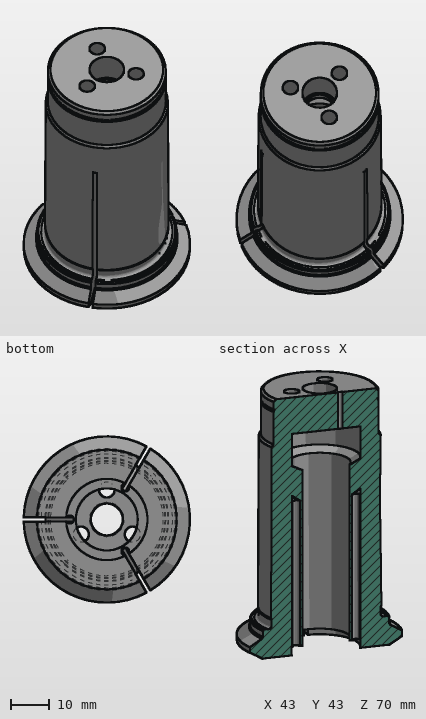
import cadquery as cq
import math

total_length = 70.0
flange_radius = 43.0 / 2

end_face_radius = 18.05
lower_cone_top = 2.0
rim_top = 3.5
rim_chamfer = 0.2
upper_cone_top = 5.5
upper_cone_top_radius = 18.3
shoulder_radius = 18.05
shoulder_bottom = 5.95
shoulder_edge = 0.4
shoulder_top = 8.0
neck_radius = 15.8
undercut_radius = 0.8
undercut_depth = 0.08
neck_top = 10.35
body_bottom = 10.85
body_bottom_radius = 16.0
body_top = 57.1
body_top_radius = 15.8
top_section_radius = 30.5 / 2
top_section_bottom = 57.8
groove_bottom = 66.6
groove_top = 67.15
groove_radius = 15.0
top_chamfer = 0.7

bore_radius = 16.0 / 2
chamber_radius = 21.0 / 2
recess_radius = chamber_radius
recess_depth = 2.35
chamber_bottom = 50.0
chamber_cone_angle = 30.0
end_wall = 10.0

plug_hole_radius = 8.92 / 2
plug_hole_depth = 8.0
plug_seat_radius = 8.2 / 2
coolant_hole_diameter = 4.0
coolant_hole_count = 3
coolant_circle_radius = 7.7
coolant_first_angle = 30.0

slot_count = 3
slot_first_angle = 60.0
slot_width = 1.1
slot_floor_radius = 8.5
floor_rounding = 1.0
slot_top = 47.55
slot_runout_bottom = 41.75
cut_margin = 1.0


def outer_body():
    arc_centre_radius = neck_radius + undercut_radius
    arc_centre_height = shoulder_top - undercut_depth + undercut_radius
    arc_outer_radius = arc_centre_radius + math.sqrt(
        undercut_radius**2 - (arc_centre_height - shoulder_top) ** 2
    )
    diagonal = undercut_radius * math.sqrt(0.5)
    profile = (
        cq.Workplane("XZ")
        .moveTo(0, 0)
        .lineTo(end_face_radius, 0)
        .lineTo(flange_radius, lower_cone_top)
        .lineTo(flange_radius, rim_top)
        .lineTo(flange_radius - rim_chamfer, rim_top + rim_chamfer)
        .lineTo(upper_cone_top_radius, upper_cone_top)
        .lineTo(shoulder_radius, shoulder_bottom)
        .lineTo(shoulder_radius, shoulder_top - shoulder_edge)
        .lineTo(shoulder_radius - shoulder_edge, shoulder_top)
        .lineTo(arc_outer_radius, shoulder_top)
        .threePointArc(
            (arc_centre_radius - diagonal, arc_centre_height - diagonal),
            (neck_radius, arc_centre_height),
        )
        .lineTo(neck_radius, neck_top)
        .lineTo(body_bottom_radius, body_bottom)
        .lineTo(body_top_radius, body_top)
        .lineTo(top_section_radius, top_section_bottom)
        .lineTo(top_section_radius, groove_bottom)
        .lineTo(groove_radius, groove_top)
        .lineTo(top_section_radius, groove_top)
        .lineTo(top_section_radius, total_length - top_chamfer)
        .lineTo(top_section_radius - top_chamfer, total_length)
        .lineTo(0, total_length)
        .close()
    )
    return profile.revolve(360, (0, 0, 0), (0, 1, 0))


def bore():
    cone_slope = math.tan(math.radians(chamber_cone_angle))
    cone_top = chamber_bottom + (chamber_radius - bore_radius) * cone_slope
    wall_bottom = total_length - end_wall
    seat_top = total_length - plug_hole_depth
    seat_bottom = seat_top - (plug_hole_radius - plug_seat_radius)
    profile = (
        cq.Workplane("XZ")
        .moveTo(0, 0)
        .lineTo(recess_radius, 0)
        .lineTo(recess_radius, recess_depth)
        .lineTo(bore_radius, recess_depth)
        .lineTo(bore_radius, chamber_bottom)
        .lineTo(chamber_radius, cone_top)
        .lineTo(chamber_radius, wall_bottom)
        .lineTo(plug_seat_radius, wall_bottom)
        .lineTo(plug_seat_radius, seat_bottom)
        .lineTo(plug_hole_radius, seat_top)
        .lineTo(plug_hole_radius, total_length)
        .lineTo(0, total_length)
        .close()
    )
    return profile.revolve(360, (0, 0, 0), (0, 1, 0))


def coolant_holes():
    return (
        cq.Workplane("XY", origin=(0, 0, total_length))
        .polarArray(coolant_circle_radius, coolant_first_angle, 360, coolant_hole_count)
        .circle(coolant_hole_diameter / 2)
        .extrude(-end_wall)
    )


def slot():
    """Slot along +X with a rounded floor, sloping out to the body surface at its top."""
    half_width = slot_width / 2
    floor_axis_radius = slot_floor_radius + floor_rounding
    wall_start_radius = floor_axis_radius - math.sqrt(floor_rounding**2 - half_width**2)
    surface_radius = (body_bottom_radius + body_top_radius) / 2
    runout_rate = (slot_top - slot_runout_bottom) / (surface_radius - wall_start_radius)
    far_radius = flange_radius + cut_margin
    far_height = slot_runout_bottom + (far_radius - wall_start_radius) * runout_rate
    sides = (
        cq.Workplane("XZ")
        .moveTo(wall_start_radius, 0)
        .lineTo(far_radius, 0)
        .lineTo(far_radius, far_height)
        .lineTo(wall_start_radius, slot_runout_bottom)
        .close()
        .extrude(half_width, both=True)
    )
    floor = (
        cq.Workplane("XY", origin=(floor_axis_radius, 0, 0))
        .circle(floor_rounding)
        .extrude(slot_runout_bottom)
    )
    return sides.union(floor)


result = outer_body().cut(bore()).cut(coolant_holes())
for index in range(slot_count):
    angle = slot_first_angle + index * 360 / slot_count
    result = result.cut(slot().rotate((0, 0, 0), (0, 0, 1), angle))